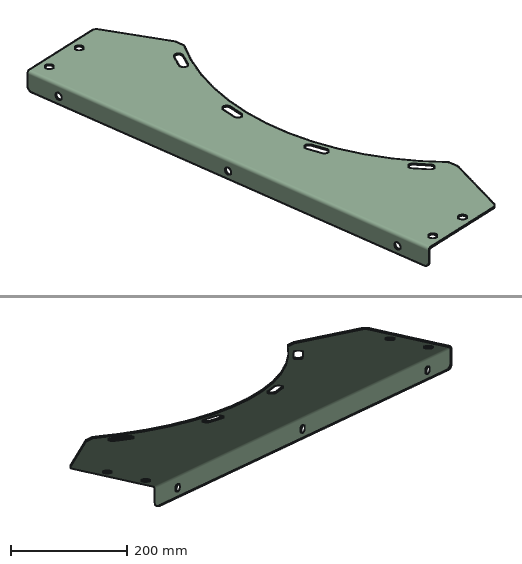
import cadquery as cq
import math

LENGTH = 900.0
DEPTH = 237.0
HEIGHT = 40.0
THICKNESS = 3.0
BEND_INNER_RADIUS = 3.0
BEND_OUTER_RADIUS = BEND_INNER_RADIUS + THICKNESS
HALF_LENGTH = LENGTH / 2

CUTOUT_RADIUS = 472.0
CUTOUT_BOTTOM_Y = 132.3
CUTOUT_CENTRE_Y = CUTOUT_BOTTOM_Y + CUTOUT_RADIUS

SHOULDER_X = 317.0
SIDE_DEPTH = 180.0
SIDE_CORNER_RADIUS = 10.0

SLOT_PATH_RADIUS = 489.0
SLOT_PITCH_ANGLE = 22.3
SLOT_COUNT = 4
SLOT_WIDTH = 16.0
SLOT_LENGTH = 46.0

PLATE_HOLE_DIAMETER = 16.0
PLATE_HOLE_END_MARGIN = 20.0
PLATE_HOLE_YS = (35.0, 115.0)

FLANGE_HOLE_DIAMETER = 14.0
FLANGE_HOLE_PITCH = 380.0
FLANGE_HOLE_STEPS = (-1, 0, 1)
FLANGE_HOLE_Z = -24.0
FLANGE_CORNER_RADIUS = 10.0


def make_folded_sheet():
    """L-shaped section with a rounded bend, run along the full length."""
    section = (
        cq.Workplane("YZ")
        .moveTo(0, -HEIGHT)
        .lineTo(0, -BEND_OUTER_RADIUS)
        .radiusArc((BEND_OUTER_RADIUS, 0), BEND_OUTER_RADIUS)
        .lineTo(DEPTH, 0)
        .lineTo(DEPTH, -THICKNESS)
        .lineTo(BEND_OUTER_RADIUS, -THICKNESS)
        .radiusArc((THICKNESS, -BEND_OUTER_RADIUS), -BEND_INNER_RADIUS)
        .lineTo(THICKNESS, -HEIGHT)
        .close()
    )
    return section.extrude(HALF_LENGTH, both=True)


def make_plan_prism():
    """Upright prism with the plan shape of the bracket."""
    rim_x = math.sqrt(CUTOUT_RADIUS**2 - (CUTOUT_CENTRE_Y - DEPTH) ** 2)

    outline = (
        cq.Workplane("XY")
        .moveTo(-HALF_LENGTH, 0)
        .lineTo(HALF_LENGTH, 0)
        .lineTo(HALF_LENGTH, SIDE_DEPTH)
        .lineTo(SHOULDER_X, DEPTH)
        .lineTo(rim_x, DEPTH)
        .threePointArc((0, CUTOUT_BOTTOM_Y), (-rim_x, DEPTH))
        .lineTo(-SHOULDER_X, DEPTH)
        .lineTo(-HALF_LENGTH, SIDE_DEPTH)
        .close()
    )
    prism = outline.extrude(-HEIGHT)
    side_corners = prism.faces("<X or >X").edges("|Z and >Y")
    return side_corners.fillet(SIDE_CORNER_RADIUS)


def make_plate_holes():
    """Round hole cutters at both ends of the top plate."""
    hole_x = HALF_LENGTH - PLATE_HOLE_END_MARGIN
    centres = [(side * hole_x, y) for side in (-1, 1) for y in PLATE_HOLE_YS]
    return cq.Workplane("XY").pushPoints(centres).circle(PLATE_HOLE_DIAMETER / 2).extrude(-THICKNESS)


def make_slots():
    """Slot cutters set tangentially along the slot path."""
    slots = cq.Workplane("XY")
    for index in range(SLOT_COUNT):
        angle = (index - (SLOT_COUNT - 1) / 2) * SLOT_PITCH_ANGLE
        slot = (
            cq.Workplane("XY")
            .center(0, -SLOT_PATH_RADIUS)
            .slot2D(SLOT_LENGTH, SLOT_WIDTH)
            .extrude(-THICKNESS)
            .rotate((0, 0, 0), (0, 0, 1), angle)
            .translate((0, CUTOUT_CENTRE_Y, 0))
        )
        slots = slots.add(slot)
    return slots.combine()


def make_flange_holes():
    """A row of round hole cutters through the front flange."""
    centres = [(step * FLANGE_HOLE_PITCH, FLANGE_HOLE_Z) for step in FLANGE_HOLE_STEPS]
    return cq.Workplane("XZ").pushPoints(centres).circle(FLANGE_HOLE_DIAMETER / 2).extrude(-THICKNESS)


bracket = make_folded_sheet().intersect(make_plan_prism())
bracket = bracket.faces("<Z").edges("|Y").fillet(FLANGE_CORNER_RADIUS)
bracket = bracket.cut(make_plate_holes())
bracket = bracket.cut(make_slots())
result = bracket.cut(make_flange_holes())